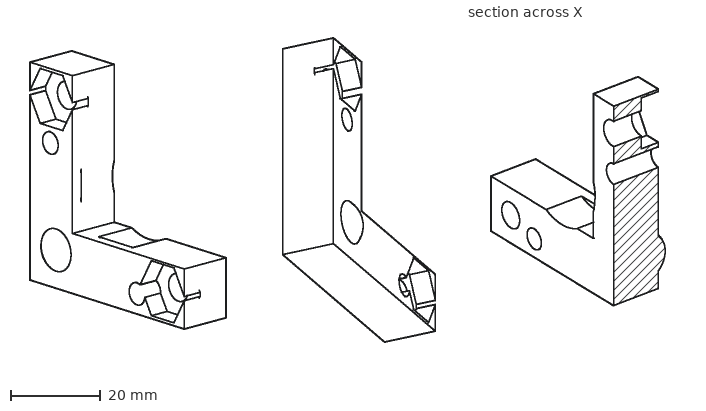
import cadquery as cq
import math

arm_length = 50.8
arm_width = 14.0
thickness = 12.7

bolt_inset = 7.1
bolt_diameter = 6.4
nut_across_flats = 12.8
nut_depth = 4.8
bolt_far = arm_length - bolt_inset
bolt_centers = [(bolt_inset, bolt_far), (bolt_far, bolt_inset)]

pin_diameter = 5.15
pin_centers = [(6.75, 33.5), (35.25, 4.7)]

bump_height = 2.35
bump_radius = 4.95
bump_center = (8.65, 8.95)

groove_center_x = arm_length / 2
groove_width = 11.2
groove_radius = 12.0
groove_length = 10.05


def prism(sketch, start_y, length):
    """Extrude an XZ sketch backward along +Y, starting from start_y."""
    return sketch.extrude(-length).translate((0, start_y, 0))


def make_body():
    outline = cq.Workplane("XZ").polyline([
        (0, 0),
        (arm_length, 0),
        (arm_length, arm_width),
        (arm_width, arm_width),
        (arm_width, arm_length),
        (0, arm_length),
    ]).close()
    return prism(outline, 0, thickness)


def make_holes(centers, diameter):
    return prism(cq.Workplane("XZ").pushPoints(centers).circle(diameter / 2), 0, thickness)


def make_nut_pockets():
    across_corners = nut_across_flats / math.cos(math.pi / 6)
    hexagons = cq.Workplane("XZ").pushPoints(bolt_centers).polygon(6, across_corners)
    return prism(hexagons, 0, nut_depth)


def make_groove():
    axis_height = arm_width + math.sqrt(groove_radius**2 - (groove_width / 2)**2)
    circle = cq.Workplane("XZ").center(groove_center_x, axis_height).circle(groove_radius)
    return prism(circle, thickness - groove_length, groove_length)


def make_bump():
    """Spherical cap whose base circle lies on the front face."""
    sphere_radius = (bump_radius**2 + bump_height**2) / (2 * bump_height)
    center_x, center_z = bump_center
    sphere = cq.Workplane("XY").sphere(sphere_radius)
    sphere = sphere.translate((center_x, sphere_radius - bump_height, center_z))
    block = cq.Workplane("XZ").center(center_x, center_z).rect(2 * sphere_radius, 2 * sphere_radius)
    return sphere.intersect(prism(block, -bump_height, 2 * bump_height))


result = (
    make_body()
    .union(make_bump())
    .cut(make_holes(bolt_centers, bolt_diameter))
    .cut(make_holes(pin_centers, pin_diameter))
    .cut(make_nut_pockets())
    .cut(make_groove())
)